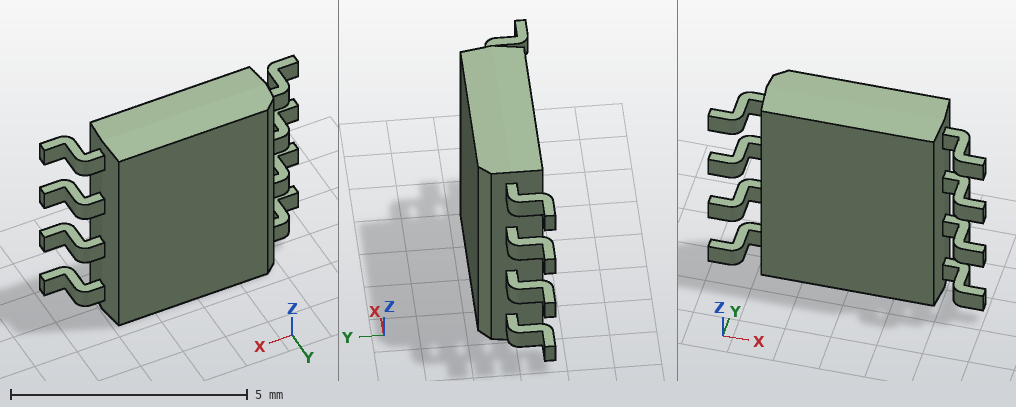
import cadquery as cq

SPAN = 6.0
THICKNESS = 1.5
STANDOFF = 0.15
BODY_WIDTH = 3.89
BODY_LENGTH = 4.9
DRAFT_INSET = 0.06
EDGE_CHAMFER = 0.25

LEADS_PER_SIDE = 4
LEAD_PITCH = 1.27
LEAD_WIDTH = 0.42
LEAD_STOCK = 0.23
FOOT_LENGTH = 0.48
SHOULDER_HEIGHT = 0.935
INNER_BEND = 0.025
EMBED = 0.18

seat_y = -THICKNESS / 2
body_top_y = THICKNESS / 2
half_body = (THICKNESS - STANDOFF) / 2
parting_y = body_top_y - half_body
outer_bend = INNER_BEND + LEAD_STOCK


def body_half(direction):
    """Drafted half body from the parting plane towards +Y (1) or -Y (-1)."""
    plane = cq.Plane(origin=(0, parting_y, 0), xDir=(1, 0, 0), normal=(0, direction, 0))
    return (
        cq.Workplane(plane)
        .rect(BODY_WIDTH, BODY_LENGTH)
        .workplane(offset=half_body)
        .rect(BODY_WIDTH - 2 * DRAFT_INSET, BODY_LENGTH - 2 * DRAFT_INSET)
        .loft(ruled=True)
    )


def make_body():
    """Upper half with its bevelled edge, joined to the lower half."""
    upper = body_half(1).faces(">Y").edges("<X").chamfer(EDGE_CHAMFER)
    return upper.union(body_half(-1), clean=False)


def lead_at(z_center):
    """Gull-wing lead on the -X side, centred at the given Z."""
    tip_x = -SPAN / 2
    upright_outer_x = tip_x + FOOT_LENGTH
    upright_inner_x = upright_outer_x + LEAD_STOCK
    root_x = -BODY_WIDTH / 2 + EMBED
    foot_top_y = seat_y + LEAD_STOCK
    shoulder_top_y = seat_y + SHOULDER_HEIGHT
    shoulder_under_y = shoulder_top_y - LEAD_STOCK

    return (
        cq.Workplane("XY", origin=(0, 0, z_center))
        .moveTo(tip_x, seat_y)
        .lineTo(upright_inner_x - outer_bend, seat_y)
        .radiusArc((upright_inner_x, seat_y + outer_bend), -outer_bend)
        .lineTo(upright_inner_x, shoulder_under_y - INNER_BEND)
        .radiusArc((upright_inner_x + INNER_BEND, shoulder_under_y), INNER_BEND)
        .lineTo(root_x, shoulder_under_y)
        .lineTo(root_x, shoulder_top_y)
        .lineTo(upright_outer_x + outer_bend, shoulder_top_y)
        .radiusArc((upright_outer_x, shoulder_top_y - outer_bend), -outer_bend)
        .lineTo(upright_outer_x, foot_top_y + INNER_BEND)
        .radiusArc((upright_outer_x - INNER_BEND, foot_top_y), INNER_BEND)
        .lineTo(tip_x, foot_top_y)
        .close()
        .extrude(LEAD_WIDTH / 2, both=True)
    )


result = make_body()
for index in range(LEADS_PER_SIDE):
    lead = lead_at((index - (LEADS_PER_SIDE - 1) / 2) * LEAD_PITCH)
    result = result.union(lead).union(lead.mirror("YZ"))